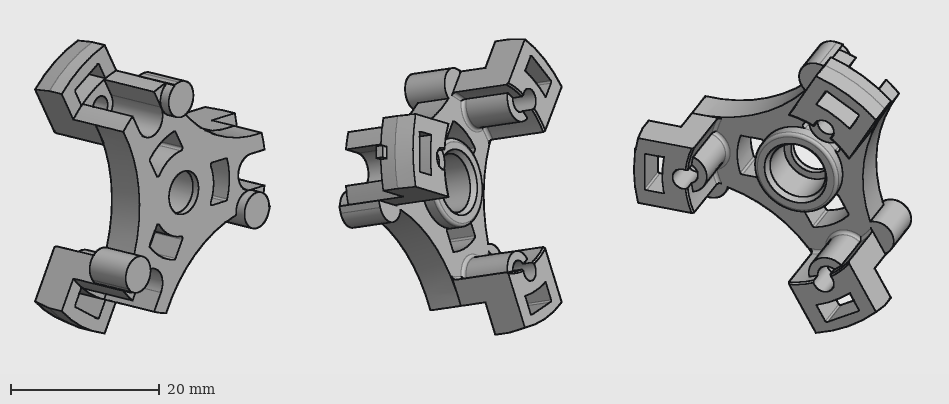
import cadquery as cq
import math


overall_height = 40.35
arm_count = 3
arm_pitch = 360.0 / arm_count
arm_half_width = 5.0

slant = math.radians(arm_pitch / 2)
flange_corner_reach = (overall_height / 2 - arm_half_width * math.cos(slant)) / math.sin(slant)
flange_radius = math.hypot(flange_corner_reach, arm_half_width)

flange_back = 5.0
plate_front = 9.0
plate_back = 14.0
boss_back = 15.5

waist_radius = 8.9
column_outer_radius = 16.5
column_corner_reach = math.sqrt(column_outer_radius**2 - arm_half_width**2)

hub_radius = 6.0
hub_rise = 2.0
hub_front = plate_front - hub_rise
hub_edge_fillet = 0.5
bore_radius = 3.0
seat_radius = 4.0
seat_chamfer = 0.5
seat_chamfer_depth = 0.8
seat_floor_thickness = 1.0

window_outer_radius = 9.2
window_half_width = 3.0
window_corner_fillet = 0.32

column_inner_radius = 13.0
column_edge_chamfer = 0.25
root_fillet = 0.5
root_fillet_middle = root_fillet * (1 - math.sqrt(0.5))
flange_taper = 0.4
flange_taper_length = 2.7

slot_width = 5.55
slot_outer_reach = 19.05
slot_corner_fillet = 0.25

screw_reach = 13.5
screw_radius = 1.5
collar_radius = 2.8
collar_front = 1.7
recess_radius = 2.5

boss_radius = 2.5
boss_centre_radius = column_outer_radius - boss_radius
boss_angle = -math.asin(arm_half_width / boss_centre_radius)

peg_tip = 22.05
peg_width = 1.6
peg_length = 1.0


def cylinder(radius, start, end, y=0.0, z=0.0):
    """Cylinder along X between two levels."""
    return cq.Workplane("YZ", origin=(start, y, z)).circle(radius).extrude(end - start)


def block(start, end, y_min, y_max, width):
    """Block centred on Z = 0."""
    size = (end - start, y_max - y_min, width)
    return cq.Workplane("XY").box(*size, centered=(False, False, True)).translate((start, y_min, 0))


def around_hub(feature):
    """One copy of a feature for each arm."""
    copies = cq.Workplane("YZ")
    for index in range(arm_count):
        copies = copies.add(feature.rotate((0, 0, 0), (1, 0, 0), index * arm_pitch).val())
    return copies.combine()


def polar(radius, angle):
    """Y and Z of a point at a radius and an angle about the hub axis."""
    return radius * math.cos(angle), radius * math.sin(angle)


def arm_point(reach, offset, angle):
    """Point at a reach along an arm and an offset across it."""
    along_y, along_z = polar(reach, angle)
    across_y, across_z = polar(offset, angle + math.pi / 2)
    return along_y + across_y, along_z + across_z


def make_plate():
    """Plate with rounded arm ends joined by concave sides."""
    outline = cq.Workplane("YZ", origin=(plate_front, 0, 0))
    outline = outline.moveTo(*arm_point(column_corner_reach, -arm_half_width, 0))
    for index in range(arm_count):
        angle = math.radians(index * arm_pitch)
        next_angle = math.radians((index + 1) * arm_pitch)
        arm_end = polar(column_outer_radius, angle)
        arm_corner = arm_point(column_corner_reach, arm_half_width, angle)
        waist = polar(waist_radius, (angle + next_angle) / 2)
        next_arm_corner = arm_point(column_corner_reach, -arm_half_width, next_angle)
        outline = outline.threePointArc(arm_end, arm_corner).threePointArc(waist, next_arm_corner)
    return outline.close().extrude(plate_back - plate_front)


def make_column():
    """Column and flange: a turned ring cut down to the arm width."""
    ring = (
        cq.Workplane("XY")
        .moveTo(0, column_inner_radius + column_edge_chamfer)
        .lineTo(0, flange_radius - flange_taper)
        .lineTo(flange_taper_length, flange_radius)
        .lineTo(flange_back, flange_radius)
        .lineTo(flange_back, column_outer_radius)
        .lineTo(plate_front, column_outer_radius)
        .lineTo(plate_front, column_inner_radius - root_fillet)
        .threePointArc(
            (plate_front - root_fillet_middle, column_inner_radius - root_fillet_middle),
            (plate_front - root_fillet, column_inner_radius),
        )
        .lineTo(column_edge_chamfer, column_inner_radius)
        .close()
        .revolve(360, (0, 0, 0), (1, 0, 0))
    )
    return ring.intersect(block(0, plate_front, 0, flange_radius, 2 * arm_half_width))


def make_collar():
    """Screw collar that flares into the plate."""
    return (
        cq.Workplane("XY", origin=(0, screw_reach, 0))
        .moveTo(collar_front, 0)
        .lineTo(collar_front, collar_radius)
        .lineTo(plate_front - root_fillet, collar_radius)
        .threePointArc(
            (plate_front - root_fillet_middle, collar_radius + root_fillet_middle),
            (plate_front, collar_radius + root_fillet),
        )
        .lineTo(plate_front, 0)
        .close()
        .revolve(360, (0, 0, 0), (1, 0, 0))
    )


def make_screw_cut():
    """Screw hole and the U-shaped head recess, open at the arm end."""
    hole = cylinder(screw_radius, 0, flange_back, screw_reach)
    recess = cylinder(recess_radius, flange_back, plate_back, screw_reach)
    opening = block(flange_back, plate_back, screw_reach, flange_radius, 2 * recess_radius)
    return hole.union(recess).union(opening)


def make_flange_slot():
    """Slot with rounded outer corners whose inner side follows the column end."""
    slot = block(0, flange_back, screw_reach, slot_outer_reach, slot_width)
    slot = slot.cut(cylinder(column_outer_radius, 0, flange_back))
    return slot.edges("|X and >Y").fillet(slot_corner_fillet)


def make_window():
    """Plate opening between the hub wall and an outer arc."""
    window = block(plate_front, plate_back, 0, window_outer_radius, 2 * window_half_width)
    window = window.intersect(cylinder(window_outer_radius, plate_front, plate_back))
    window = window.cut(cylinder(hub_radius, plate_front, plate_back))
    return window.edges("|X").fillet(window_corner_fillet)


def make_boss():
    """Round boss with a web that carries the column end radius on to it."""
    centre = polar(boss_centre_radius, boss_angle)
    tangent_point = polar(column_outer_radius, boss_angle)
    arm_side = (column_outer_radius, -arm_half_width)
    wedge = cq.Workplane("YZ", origin=(plate_front, 0, 0)).polyline([centre, tangent_point, arm_side])
    wedge = wedge.close().extrude(boss_back - plate_front)
    web = wedge.intersect(cylinder(column_outer_radius, plate_front, boss_back))
    return cylinder(boss_radius, plate_front, boss_back, *centre).union(web)


def make_hub():
    """Hub cylinder with a rounded front edge."""
    return cylinder(hub_radius, hub_front, plate_back).faces("<X").edges().fillet(hub_edge_fillet)


def make_hub_bore():
    """Through bore behind a wider seat with a chamfered mouth."""
    bore = cylinder(bore_radius, hub_front, plate_back)
    seat = cylinder(seat_radius, hub_front, plate_back - seat_floor_thickness)
    mouth = cq.Workplane("YZ", origin=(hub_front, 0, 0)).circle(seat_radius + seat_chamfer)
    mouth = mouth.workplane(offset=seat_chamfer_depth).circle(seat_radius).loft()
    return bore.union(seat).union(mouth)


def make_peg():
    """Rectangular peg that starts inside the flange and sticks out of its rim."""
    return block(flange_back - peg_length, flange_back, slot_outer_reach, peg_tip, peg_width)


result = make_plate().union(make_hub()).cut(make_hub_bore())
result = result.cut(around_hub(make_window()))
result = result.union(around_hub(make_column())).union(around_hub(make_collar()))
result = result.cut(around_hub(make_screw_cut())).cut(around_hub(make_flange_slot()))
result = result.union(around_hub(make_boss())).union(make_peg())